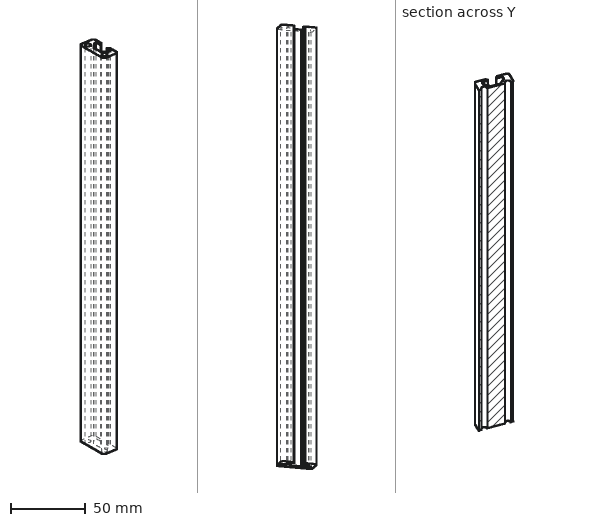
import cadquery as cq

width = 25.0
depth = 12.5
length = 305.0
corner_radius = 1.8

mouth_width = 6.0
lip_thickness = 2.0
lip_chamfer = 1.2
cavity_width = 15.0
cavity_wall_height = 1.8
floor_width = 7.3
floor_thickness = 4.5

channel_diameter = 4.0
channel_spacing = 17.0
channel_from_back = 4.0

back = -depth / 2
front = depth / 2


def make_bar():
    """Rectangular bar with rounded long edges."""
    bar = cq.Workplane("XY").box(width, depth, length)
    return bar.edges("|Z").fillet(corner_radius)


def make_slot():
    """T-slot with chamfered lips and a cavity that narrows to a flat floor."""
    lip_y = front - lip_thickness
    right_side = [
        (floor_width / 2, back + floor_thickness),
        (cavity_width / 2, lip_y - cavity_wall_height),
        (cavity_width / 2, lip_y),
        (mouth_width / 2, lip_y),
        (mouth_width / 2, front - lip_chamfer),
        (mouth_width / 2 + lip_chamfer, front),
    ]
    left_side = [(-x, y) for x, y in reversed(right_side)]
    profile = cq.Workplane("XY").polyline(right_side + left_side).close()
    return profile.extrude(length / 2, both=True)


def make_channels():
    """Pair of round channels that run the full length."""
    channel_y = back + channel_from_back
    centers = [(side * channel_spacing / 2, channel_y) for side in (-1, 1)]
    circles = cq.Workplane("XY").pushPoints(centers).circle(channel_diameter / 2)
    return circles.extrude(length / 2, both=True)


result = make_bar().cut(make_slot()).cut(make_channels())